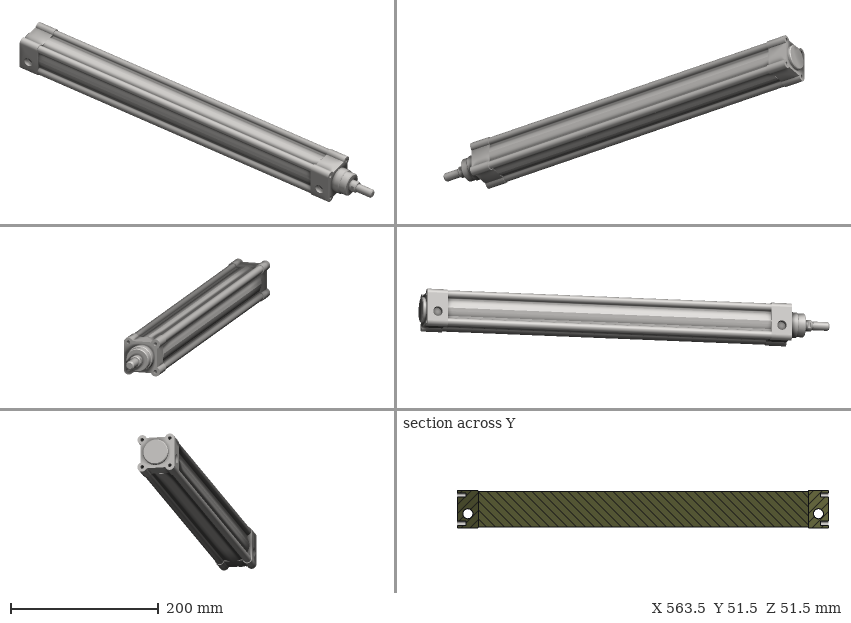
import cadquery as cq
import math


total_length = 563.5
boss_length = 4.5
cap_length = 28.0
front_face_x = 508.0
thread_length = 24.0

rear_cap_x = boss_length
barrel_x = rear_cap_x + cap_length
front_cap_x = front_face_x - cap_length
barrel_length = front_cap_x - barrel_x

cap_size = 51.5
cap_waist = 43.0
bolt_pitch = 38.5
bolt_hole_diameter = 5.0
bolt_hole_depth = 11.0
cap_lobe_radius = (cap_size - bolt_pitch) / 2

port_diameter = 13.0
port_depth = 8.5
port_z = -6.0

boss_diameter = 35.0
collar_length = 11.0
nose_diameter = 32.0
nose_length = 10.0
round_chamfer = 1.0

barrel_size = 49.0
tube_radius = 22.0
ridge_half_width = 4.5
groove_fillet = 1.0
barrel_lobe_radius = (barrel_size - bolt_pitch) / 2

rod_diameter = 16.0
rod_chamfer = 1.0
thread_diameter = 12.0
thread_chamfer = 1.5
neck_diameter = 10.5
neck_length = 1.5
flat_width = 13.0
flat_length = 4.0
flat_end_margin = 2.0

shoulder_x = total_length - thread_length


def section_plane(x):
    """Plane across the bore axis, with local x along Y and local y along Z."""
    return cq.Workplane("YZ", origin=(x, 0, 0))


def disc(x, diameter, length):
    """Cylinder on the bore axis, starting at x."""
    return section_plane(x).circle(diameter / 2).extrude(length)


def corner_cylinders(x, radius, length):
    """Four cylinders on the bolt pattern."""
    bolt_axes = section_plane(x).rect(bolt_pitch, bolt_pitch, forConstruction=True).vertices()
    return bolt_axes.circle(radius).extrude(length)


def cap_block(x, bolt_face_x, bolt_direction):
    """Cap with four corner lobes, a filled -Y side, a port and four bolt holes."""
    block = section_plane(x).rect(cap_waist, cap_waist).extrude(cap_length)
    block = block.union(corner_cylinders(x, cap_lobe_radius, cap_length))
    port_side_depth = cap_size / 2
    port_side = (
        section_plane(x)
        .center(-port_side_depth / 2, 0)
        .rect(port_side_depth, bolt_pitch)
        .extrude(cap_length)
    )
    block = block.union(port_side)
    port = (
        cq.Workplane("XZ", origin=(x + cap_length / 2, -cap_size / 2, port_z))
        .circle(port_diameter / 2)
        .extrude(-port_depth)
    )
    bolt_holes = corner_cylinders(bolt_face_x, bolt_hole_diameter / 2, bolt_direction * bolt_hole_depth)
    return block.cut(port).cut(bolt_holes)


def make_rear_cap():
    boss = disc(0, boss_diameter, boss_length).faces("<X").chamfer(round_chamfer)
    return cap_block(rear_cap_x, rear_cap_x, 1).union(boss)


def make_front_cap():
    collar = disc(front_face_x, boss_diameter, collar_length).faces(">X").chamfer(round_chamfer)
    nose = disc(front_face_x + collar_length, nose_diameter, nose_length).faces(">X").chamfer(round_chamfer)
    rod_bore = disc(front_cap_x, rod_diameter, total_length - front_cap_x)
    return cap_block(front_cap_x, front_face_x, -1).union(collar).union(nose).cut(rod_bore)


def make_ridge(angle):
    """Low roof along one side of the tube, its flanks tangent to the tube surface."""
    tangent_height = math.sqrt(tube_radius**2 - ridge_half_width**2)
    ridge_height = tube_radius**2 / tangent_height
    ridge = (
        section_plane(barrel_x)
        .moveTo(0, 0)
        .lineTo(ridge_half_width, tangent_height)
        .lineTo(0, ridge_height)
        .lineTo(-ridge_half_width, tangent_height)
        .close()
        .extrude(barrel_length)
    )
    return ridge.rotate((0, 0, 0), (1, 0, 0), angle)


def make_barrel():
    """Square core through the bolt axes, with corner lobes, a round tube wall and four ridges."""
    core = section_plane(barrel_x).rect(bolt_pitch, bolt_pitch).extrude(barrel_length)
    core = core.union(corner_cylinders(barrel_x, barrel_lobe_radius, barrel_length))
    core = core.edges("|X").fillet(groove_fillet)
    barrel = core.union(disc(barrel_x, 2 * tube_radius, barrel_length))
    for angle in (0, 90, 180, 270):
        barrel = barrel.union(make_ridge(angle))
    return barrel


def make_rod():
    shank = disc(front_cap_x, rod_diameter, shoulder_x - front_cap_x).faces(">X").chamfer(rod_chamfer)
    neck = disc(shoulder_x, neck_diameter, neck_length)
    thread_x = shoulder_x + neck_length
    thread = disc(thread_x, thread_diameter, total_length - thread_x).faces(">X").chamfer(thread_chamfer)
    rod = shank.union(neck).union(thread)
    flat_x = shoulder_x - flat_end_margin - flat_length / 2
    for side in (1, -1):
        flat_cut = cq.Workplane("XY").box(flat_length, rod_diameter, rod_diameter)
        rod = rod.cut(flat_cut.translate((flat_x, side * (flat_width + rod_diameter) / 2, 0)))
    return rod


rear_cap = make_rear_cap()
barrel = make_barrel()
front_cap = make_front_cap()
rod = make_rod()

result = cq.Compound.makeCompound([rear_cap.val(), barrel.val(), front_cap.val(), rod.val()])